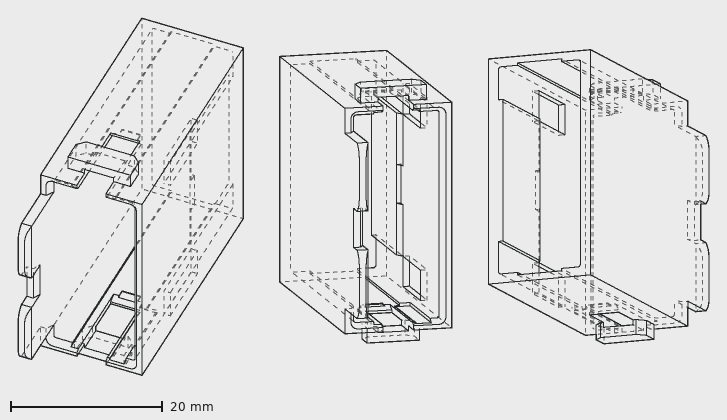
import cadquery as cq
import math


width = 14.6
total_length = 40.85
total_height = 34.4
clip_height = 2.0
height = total_height - 2 * clip_height
tongue_length = 7.4
depth = total_length - tongue_length
side_wall = 1.47
end_wall = 1.23
bore_width = width - 2 * side_wall
bore_height = height - 2 * end_wall
bore_radius = 0.33
center_x = width / 2

lead_in_length = 1.02
mouth_lead_in = 0.65
edge_lead_in = 0.55

tongue_height = 23.65
notch_height = 5.23
notch_depth = 2.85
lobe_arc_radius = 2.35
lobe_arc_height = 2.0

groove_width = 6.25
groove_depth = 0.33
slot_width = 4.15
slot_length = 11.2

pocket_depth = 0.45
pocket_start = 2.45
pocket_width = 2.12
relief_width = 2.65
relief_length = 2.05

top_clip_width = 9.0
bottom_clip_width = 7.15
clip_length = 3.68
clip_start = 2.6
clip_chamfer = 1.02
clip_gap = 0.65

rib_height = 0.6
rib_end_gap = 5.65
rib_half_span = height / 2 - rib_end_gap
rib_ramp_start = 19.6
rib_ramp_length = 1.05
rib_crest_start = rib_ramp_start + rib_ramp_length

recess_depth = 0.9
recess_start = 10.62
recess_end = rib_ramp_start


def box(x_range, y_range, z_range):
    """Axis-aligned box given by its (low, high) limits."""
    corner = (x_range[0], y_range[0], z_range[0])
    size = [high - low for low, high in (x_range, y_range, z_range)]
    return cq.Workplane("XY").box(*size, centered=False).translate(corner)


def bore_section(offset):
    """Rounded section of the bore, enlarged all round by the offset."""
    return (
        cq.Sketch()
        .rect(bore_width + 2 * offset, bore_height + 2 * offset)
        .vertices()
        .fillet(bore_radius + offset)
    )


def sleeve():
    """Straight tube with a tapered lead-in at the mouth."""
    body = box((0, width), (0, depth), (-height / 2, height / 2))
    mouth_plane = cq.Workplane("XZ", origin=(center_x, 0, 0))
    bore = mouth_plane.placeSketch(bore_section(0)).extrude(-depth)
    inward = cq.Location(cq.Vector(0, 0, -lead_in_length))
    flare = mouth_plane.placeSketch(
        bore_section(mouth_lead_in),
        bore_section(0).moved(inward),
    ).loft()
    return body.cut(bore).cut(flare)


def lobe(z_low, z_high):
    """Tongue lobe whose tip corners are arcs tangent to the tip edge only."""
    arc_length = lobe_arc_radius - math.sqrt(lobe_arc_radius**2 - lobe_arc_height**2)
    half_angle = math.asin(lobe_arc_height / lobe_arc_radius) / 2
    mid_y = -tongue_length + lobe_arc_radius * (1 - math.cos(half_angle))
    mid_z = lobe_arc_height - lobe_arc_radius * math.sin(half_angle)
    shoulder_y = -tongue_length + arc_length
    return (
        cq.Workplane("YZ")
        .moveTo(lead_in_length, z_low)
        .lineTo(shoulder_y, z_low)
        .threePointArc((mid_y, z_low + mid_z), (-tongue_length, z_low + lobe_arc_height))
        .lineTo(-tongue_length, z_high - lobe_arc_height)
        .threePointArc((mid_y, z_high - mid_z), (shoulder_y, z_high))
        .lineTo(lead_in_length, z_high)
        .close()
        .extrude(side_wall)
    )


def tongue_bevel(edge_y, z_low, z_high):
    """Wedge that thins the inner face of the tongue towards an edge at edge_y."""
    return (
        cq.Workplane("XY", origin=(0, 0, z_low))
        .polyline([
            (side_wall, edge_y),
            (side_wall - edge_lead_in, edge_y),
            (side_wall, edge_y + lead_in_length),
        ])
        .close()
        .extrude(z_high - z_low)
    )


def tongue():
    """Blade extending the near side wall, notched in the middle, bevelled at every tip."""
    half_height = tongue_height / 2
    half_notch = notch_height / 2
    notch_y = -tongue_length + notch_depth
    blade = box((0, side_wall), (notch_y, lead_in_length), (-half_notch, half_notch))
    blade = blade.cut(tongue_bevel(notch_y, -half_notch, half_notch))
    for z_low, z_high in ((half_notch, half_height), (-half_height, -half_notch)):
        blade = blade.union(lobe(z_low, z_high).cut(tongue_bevel(-tongue_length, z_low, z_high)))
    return blade


def groove():
    """Shallow groove along the whole inner face of the top wall."""
    x_range = (center_x - groove_width / 2, center_x + groove_width / 2)
    return box(x_range, (0, depth), (0, bore_height / 2 + groove_depth))


def floor_pocket():
    """Shallow pocket in the bottom wall beside the slot, open at the mouth."""
    x_low = center_x + pocket_start
    return box((x_low, x_low + pocket_width), (0, slot_length), (-bore_height / 2 - pocket_depth, 0))


def slot_relief():
    """Narrow blind relief in the groove floor just behind the slot of the top wall."""
    x_range = (center_x - relief_width / 2, center_x + relief_width / 2)
    y_range = (slot_length, slot_length + relief_length)
    return box(x_range, y_range, (0, bore_height / 2 + pocket_depth))


def side_recess():
    """Blind recess in the far side wall, above the level of the rib."""
    wall_x = width - side_wall
    z_range = (rib_half_span, bore_height / 2 - bore_radius)
    return box((wall_x, wall_x + recess_depth), (recess_start, recess_end), z_range)


def slot():
    """Slot through the top wall, open at the mouth, with a lead-in at its closed end."""
    floor_z = bore_height / 2 + groove_depth
    x_low = center_x - slot_width / 2
    opening = box((x_low, x_low + slot_width), (0, slot_length), (0, height / 2))
    lead_in = (
        cq.Workplane("YZ", origin=(x_low, 0, 0))
        .polyline([
            (slot_length, floor_z),
            (slot_length + lead_in_length, floor_z),
            (slot_length, floor_z + edge_lead_in),
        ])
        .close()
        .extrude(slot_width)
    )
    return opening.union(lead_in)


def clip(clip_width):
    """Bridge standing on the top wall on both sides of the slot."""
    y_range = (clip_start, clip_start + clip_length)
    block = box(
        (center_x - clip_width / 2, center_x + clip_width / 2),
        y_range,
        (height / 2, height / 2 + clip_height),
    )
    block = block.faces(">Y").edges("|Z").chamfer(clip_chamfer)
    gap = box(
        (center_x - slot_width / 2, center_x + slot_width / 2),
        y_range,
        (height / 2, height / 2 + clip_gap),
    )
    return block.cut(gap)


def rib():
    """Ramped rib whose middle, level with the tongue notch, starts with a square face."""
    wall_x = width - side_wall
    crest_x = wall_x - rib_height
    half_notch = notch_height / 2
    ramped = (
        cq.Workplane("XY", origin=(0, 0, -rib_half_span))
        .polyline([
            (wall_x, rib_ramp_start),
            (crest_x, rib_crest_start),
            (crest_x, depth),
            (wall_x, depth),
        ])
        .close()
        .extrude(2 * rib_half_span)
    )
    return ramped.cut(
        box((crest_x, wall_x), (rib_ramp_start, rib_crest_start), (-half_notch, half_notch))
    )


def mirrored(shape):
    """Copy of a top-wall feature on the bottom wall."""
    return shape.mirror("XY")


result = sleeve().union(tongue())
for feature in (groove(), slot(), slot_relief(), side_recess()):
    result = result.cut(feature).cut(mirrored(feature))
result = result.cut(floor_pocket())
result = result.union(clip(top_clip_width)).union(mirrored(clip(bottom_clip_width)))
result = result.union(rib())